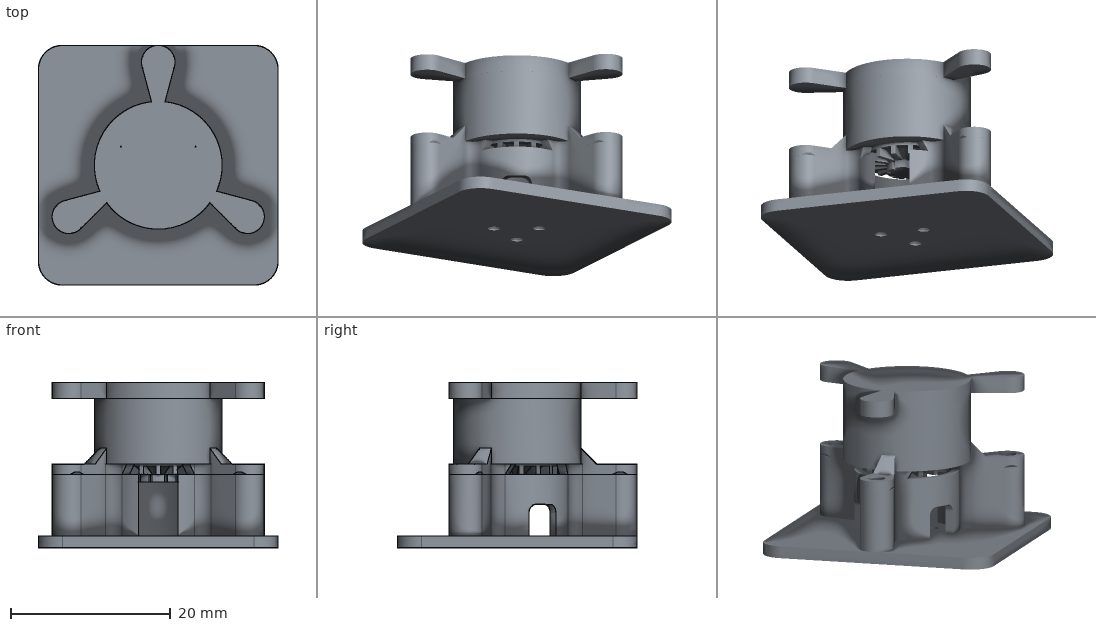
import cadquery as cq
import math

PLATE_SIDE = 30.0
PLATE_THICKNESS = 1.5
PLATE_CORNER_RADIUS = 3.0
WIRE_HOLE_DIAMETER = 1.6
WIRE_HOLE_CENTER = 3.27

LOWER_TOP = 9.2
FLANGE_TOP = 10.5
DRUM_TOP = 18.7
TOTAL_HEIGHT = 20.7

ARM_COUNT = 3
ARM_PITCH = 360 / ARM_COUNT
FIRST_ARM_ANGLE = 90.0
FIRST_OPENING_ANGLE = -90.0
ARM_TIP_RADIUS = 2.1
ARM_TIP_CENTER = PLATE_SIDE / 2 - ARM_TIP_RADIUS
ARM_HALF_TAPER = math.radians(15)
ARM_ROOT = 6.0
BLEND_RADIUS = 1.5
CLEARANCE_HOLE_DIAMETER = 2.2
SCREW_HOLE_DIAMETER = 2.0

RING_RADIUS = 6.6
BORE_DIAMETER = 11.2
DRUM_DIAMETER = 16.0
GUSSET_RISE = 1.98

SLOT_WIDTH = 4.95
DOOR_HALF_ANGLE = math.radians(17)
DOOR_HEIGHT = 3.95
DOOR_CORNER_RADIUS = 1.0
DOOR_INNER_REACH = 4.2
DOOR_OUTER_REACH = 7.8
VENT_HALF_ANGLE = math.radians(180 / ARM_COUNT)
VENT_SIDE_OFFSET = 1.92
VENT_NARROWING = 0.72

ROTOR_DIAMETER = 10.5
CORE_TOP_RADIUS = 4.2
CAGE_TOP = 10.25
BAR_COUNT = 15
BAR_WIDTH = 0.6

COLLAR_RADIUS = 2.52
COLLAR_BOTTOM = 8.25
COLLAR_SLOT_COUNT = 8
COLLAR_SLOT_WIDTH = 0.4
COLLAR_SLOT_DEPTH = 0.45


def cylinder(diameter, bottom, top):
    return cq.Workplane("XY").workplane(offset=bottom).circle(diameter / 2).extrude(top - bottom)


def around_z(shape, first_angle, count):
    """Union of `count` copies of a shape lying along +X, turned evenly about Z."""
    ring = shape.rotate((0, 0, 0), (0, 0, 1), first_angle)
    for i in range(1, count):
        ring = ring.union(shape.rotate((0, 0, 0), (0, 0, 1), first_angle + i * 360 / count))
    return ring


def flank_half_width(distance):
    """Half width of a straight-sided arm at a distance from the Z axis."""
    at_tip = ARM_TIP_RADIUS / math.cos(ARM_HALF_TAPER)
    return at_tip - (ARM_TIP_CENTER - distance) * math.tan(ARM_HALF_TAPER)


def tip_tangent():
    x = ARM_TIP_CENTER - ARM_TIP_RADIUS * math.sin(ARM_HALF_TAPER)
    return x, ARM_TIP_RADIUS * math.cos(ARM_HALF_TAPER)


def straight_arms(bottom, top):
    x, y = tip_tangent()
    root = flank_half_width(ARM_ROOT)
    arm = (
        cq.Workplane("XY").workplane(offset=bottom)
        .moveTo(ARM_ROOT, root)
        .lineTo(x, y)
        .threePointArc((ARM_TIP_CENTER + ARM_TIP_RADIUS, 0), (x, -y))
        .lineTo(ARM_ROOT, -root)
        .close()
        .extrude(top - bottom)
    )
    return around_z(arm, FIRST_ARM_ANGLE, ARM_COUNT)


def blended_arms(bottom, top):
    """Arms whose flanks run into the ring through concave blends."""
    flank_offset = -flank_half_width(0) * math.cos(ARM_HALF_TAPER)
    center_distance = RING_RADIUS + BLEND_RADIUS
    center_angle = ARM_HALF_TAPER + math.asin((BLEND_RADIUS - flank_offset) / center_distance)
    flank_normal = math.pi / 2 + ARM_HALF_TAPER

    def on_blend(angle):
        return (
            center_distance * math.cos(center_angle) + BLEND_RADIUS * math.cos(angle),
            center_distance * math.sin(center_angle) + BLEND_RADIUS * math.sin(angle),
        )

    ring_end = on_blend(center_angle + math.pi)
    flank_end = on_blend(flank_normal + math.pi)
    middle = on_blend((center_angle + math.pi + flank_normal + math.pi) / 2)
    x, y = tip_tangent()
    arm = (
        cq.Workplane("XY").workplane(offset=bottom)
        .moveTo(*ring_end)
        .threePointArc(middle, flank_end)
        .lineTo(x, y)
        .threePointArc((ARM_TIP_CENTER + ARM_TIP_RADIUS, 0), (x, -y))
        .lineTo(flank_end[0], -flank_end[1])
        .threePointArc((middle[0], -middle[1]), (ring_end[0], -ring_end[1]))
        .close()
        .extrude(top - bottom)
    )
    return around_z(arm, FIRST_ARM_ANGLE, ARM_COUNT)


def screw_holes(diameter, bottom, top):
    hole = cylinder(diameter, bottom, top).translate((ARM_TIP_CENTER, 0, 0))
    return around_z(hole, FIRST_ARM_ANGLE, ARM_COUNT)


def make_plate():
    plate = (
        cq.Workplane("XY")
        .rect(PLATE_SIDE, PLATE_SIDE)
        .extrude(PLATE_THICKNESS)
        .edges("|Z")
        .fillet(PLATE_CORNER_RADIUS)
    )
    wire_hole = cylinder(WIRE_HOLE_DIAMETER, 0, PLATE_THICKNESS).translate((WIRE_HOLE_CENTER, 0, 0))
    return plate.cut(around_z(wire_hole, FIRST_ARM_ANGLE, ARM_COUNT))


def door_cutter():
    """Doorway along +X with radial side walls and rounded top corners."""
    inner = DOOR_INNER_REACH * math.tan(DOOR_HALF_ANGLE)
    outer = DOOR_OUTER_REACH * math.tan(DOOR_HALF_ANGLE)
    return (
        cq.Workplane("XY").workplane(offset=PLATE_THICKNESS)
        .polyline([
            (DOOR_INNER_REACH, -inner),
            (DOOR_OUTER_REACH, -outer),
            (DOOR_OUTER_REACH, outer),
            (DOOR_INNER_REACH, inner),
        ])
        .close()
        .extrude(DOOR_HEIGHT)
        .faces(">Z").edges("not |Y")
        .fillet(DOOR_CORNER_RADIUS)
    )


def make_lower_housing():
    body = cylinder(2 * RING_RADIUS, PLATE_THICKNESS, LOWER_TOP)
    body = body.union(blended_arms(PLATE_THICKNESS, LOWER_TOP))
    body = body.cut(cylinder(BORE_DIAMETER, PLATE_THICKNESS, LOWER_TOP))
    body = body.cut(screw_holes(SCREW_HOLE_DIAMETER, PLATE_THICKNESS, LOWER_TOP))
    slot = (
        cq.Workplane("XY").workplane(offset=PLATE_THICKNESS)
        .center(0, -RING_RADIUS)
        .rect(SLOT_WIDTH, RING_RADIUS)
        .extrude(LOWER_TOP - PLATE_THICKNESS)
    )
    body = body.cut(slot)
    for i in range(1, ARM_COUNT):
        body = body.cut(door_cutter().rotate((0, 0, 0), (0, 0, 1), FIRST_OPENING_ANGLE + i * ARM_PITCH))
    return body


def vent_cutters():
    """Openings between the arms, with sides parallel to the arms and narrowing upward."""
    height = FLANGE_TOP - LOWER_TOP
    apex = VENT_SIDE_OFFSET / math.sin(VENT_HALF_ANGLE)
    reach = 2 * RING_RADIUS
    half_width = (reach - apex) * math.tan(VENT_HALF_ANGLE)
    taper = math.degrees(math.atan(VENT_NARROWING / height))
    sector = (
        cq.Workplane("XY").workplane(offset=LOWER_TOP)
        .polyline([(apex, 0), (reach, -half_width), (reach, half_width)])
        .close()
        .extrude(height, taper=taper)
    )
    return around_z(sector, FIRST_OPENING_ANGLE, ARM_COUNT)


def gussets():
    """Ribs on the arms whose sloping backs lie on one 45 degree cone."""
    drum_radius = DRUM_DIAMETER / 2
    cone = (
        cq.Workplane("XZ")
        .polyline([
            (0, FLANGE_TOP),
            (drum_radius + GUSSET_RISE, FLANGE_TOP),
            (drum_radius, FLANGE_TOP + GUSSET_RISE),
            (0, FLANGE_TOP + GUSSET_RISE),
        ])
        .close()
        .revolve(360, (0, 0), (0, 1))
    )
    return straight_arms(FLANGE_TOP, FLANGE_TOP + GUSSET_RISE).intersect(cone)


def make_upper_housing():
    flange = cylinder(2 * RING_RADIUS, LOWER_TOP, FLANGE_TOP).union(blended_arms(LOWER_TOP, FLANGE_TOP))
    flange = flange.cut(vent_cutters())
    flange = flange.cut(screw_holes(CLEARANCE_HOLE_DIAMETER, LOWER_TOP, FLANGE_TOP))
    body = flange.union(cylinder(DRUM_DIAMETER, FLANGE_TOP, DRUM_TOP)).union(gussets())
    return body.cut(cylinder(BORE_DIAMETER, LOWER_TOP, DRUM_TOP))


def make_lid():
    return cylinder(DRUM_DIAMETER, DRUM_TOP, TOTAL_HEIGHT).union(straight_arms(DRUM_TOP, TOTAL_HEIGHT))


def make_rotor():
    drum = cylinder(ROTOR_DIAMETER, CAGE_TOP, DRUM_TOP)
    core = (
        cq.Workplane("XZ")
        .polyline([(0, LOWER_TOP), (COLLAR_RADIUS, LOWER_TOP), (CORE_TOP_RADIUS, CAGE_TOP), (0, CAGE_TOP)])
        .close()
        .revolve(360, (0, 0), (0, 1))
    )
    bar = (
        cq.Workplane("XY").workplane(offset=LOWER_TOP)
        .center(ROTOR_DIAMETER / 2, 0)
        .rect(ROTOR_DIAMETER - 2 * COLLAR_RADIUS, BAR_WIDTH)
        .extrude(CAGE_TOP - LOWER_TOP)
    )
    envelope = cylinder(ROTOR_DIAMETER, LOWER_TOP, CAGE_TOP)
    bars = around_z(bar, FIRST_OPENING_ANGLE, BAR_COUNT).intersect(envelope)
    return drum.union(core).union(bars)


def make_collar():
    body = cylinder(2 * COLLAR_RADIUS, COLLAR_BOTTOM, LOWER_TOP)
    slot = (
        cq.Workplane("XY").workplane(offset=COLLAR_BOTTOM)
        .center(COLLAR_RADIUS, 0)
        .rect(2 * COLLAR_SLOT_DEPTH, COLLAR_SLOT_WIDTH)
        .extrude(LOWER_TOP - COLLAR_BOTTOM)
    )
    half_pitch = 180 / COLLAR_SLOT_COUNT
    return body.cut(around_z(slot, FIRST_OPENING_ANGLE + half_pitch, COLLAR_SLOT_COUNT))


plate = make_plate()
lower_housing = make_lower_housing()
upper_housing = make_upper_housing()
lid = make_lid()
rotor = make_rotor()
collar = make_collar()

result = cq.Compound.makeCompound([
    plate.val(),
    lower_housing.val(),
    upper_housing.val(),
    lid.val(),
    rotor.val(),
    collar.val(),
])